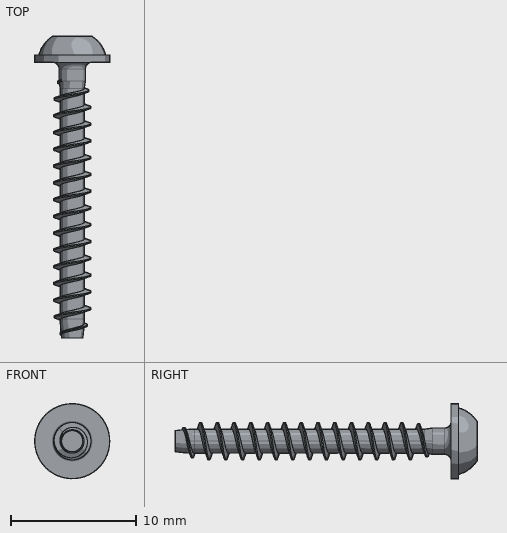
import cadquery as cq
import math

LENGTH = 24.1

FLANGE_DIAMETER = 6.0
FLANGE_RADIUS = FLANGE_DIAMETER / 2
FLANGE_THICKNESS = 0.6
DOME_HEIGHT = 1.5
DOME_BASE_RADIUS = 2.68
DOME_TOP_RADIUS = 1.57
DOME_MID_RADIUS = 2.34

SHANK_RADIUS = 1.05
NECK_FILLET = 0.5
SHANK_LENGTH = 1.5
SHANK_TAPER_LENGTH = 0.6
CORE_RADIUS = 0.96
TIP_RADIUS = 0.85
TIP_TAPER_LENGTH = 1.55

THREAD_RADIUS = 1.5
CREST_HALF_WIDTH = 0.05
FLANK_SLOPE = 0.3
ROOT_RADIUS = 0.77
THREAD_START = 0.15
THREAD_START_RADIUS = 0.92
TIP_RUN_OUT_END = 1.85
FIRST_FULL_CREST = 2.02
LAST_FULL_CREST = 19.42
TURNS_BETWEEN = 13
PITCH = (LAST_FULL_CREST - FIRST_FULL_CREST) / TURNS_BETWEEN
HEAD_RUN_OUT_LENGTH = 1.57
THREAD_END_RADIUS = 1.15
POINTS_PER_TURN = 16

DOME_BASE_Y = LENGTH - DOME_HEIGHT
SEAT_Y = DOME_BASE_Y - FLANGE_THICKNESS
SHANK_END_Y = SEAT_Y - SHANK_LENGTH
THREAD_END = SHANK_END_Y + CREST_HALF_WIDTH


def make_body():
    """Revolve the head, shank and core as one profile."""
    fillet_center_x = SHANK_RADIUS + NECK_FILLET
    fillet_center_y = SEAT_Y - NECK_FILLET
    fillet_offset = NECK_FILLET * math.sqrt(0.5)
    fillet_mid = (fillet_center_x - fillet_offset, fillet_center_y + fillet_offset)
    tip_mid_radius = CORE_RADIUS - (CORE_RADIUS - TIP_RADIUS) / 4
    return (
        cq.Workplane("XY")
        .moveTo(0, 0)
        .lineTo(TIP_RADIUS, 0)
        .threePointArc((tip_mid_radius, TIP_TAPER_LENGTH / 2), (CORE_RADIUS, TIP_TAPER_LENGTH))
        .lineTo(CORE_RADIUS, SHANK_END_Y - SHANK_TAPER_LENGTH)
        .lineTo(SHANK_RADIUS, SHANK_END_Y)
        .lineTo(SHANK_RADIUS, fillet_center_y)
        .threePointArc(fillet_mid, (fillet_center_x, SEAT_Y))
        .lineTo(FLANGE_RADIUS, SEAT_Y)
        .lineTo(FLANGE_RADIUS, DOME_BASE_Y)
        .lineTo(DOME_BASE_RADIUS, DOME_BASE_Y)
        .threePointArc((DOME_MID_RADIUS, DOME_BASE_Y + DOME_HEIGHT / 2), (DOME_TOP_RADIUS, LENGTH))
        .lineTo(0, LENGTH)
        .close()
        .revolve(360, (0, 0, 0), (0, 1, 0))
    )


def thread_section(y, crest_radius):
    """Four corners of the trapezoidal thread section centred at height y."""
    angle = 2 * math.pi * (y - FIRST_FULL_CREST) / PITCH
    root_half_width = CREST_HALF_WIDTH + FLANK_SLOPE * (crest_radius - ROOT_RADIUS)
    corners = (
        (ROOT_RADIUS, -root_half_width),
        (crest_radius, -CREST_HALF_WIDTH),
        (crest_radius, CREST_HALF_WIDTH),
        (ROOT_RADIUS, root_half_width),
    )
    return [cq.Vector(r * math.sin(angle), y + dy, r * math.cos(angle)) for r, dy in corners]


def make_thread_stretch(start, end, start_radius, end_radius):
    """Right-hand thread whose crest radius changes evenly from start to end."""
    steps = math.ceil((end - start) / PITCH * POINTS_PER_TURN)
    sections = []
    for step in range(steps + 1):
        fraction = step / steps
        crest_radius = start_radius + fraction * (end_radius - start_radius)
        sections.append(thread_section(start + fraction * (end - start), crest_radius))

    parameters = [step / steps for step in range(steps + 1)]
    rails = [cq.Edge.makeSpline(list(points), parameters=parameters) for points in zip(*sections)]
    faces = [cq.Face.makeRuledSurface(rails[i - 1], rails[i]) for i in range(len(rails))]
    for section in (sections[0], sections[-1]):
        faces.append(cq.Face.makeFromWires(cq.Wire.makePolygon(section, close=True)))
    return cq.Solid.makeSolid(cq.Shell.makeShell(faces))


head_run_out_start = THREAD_END - HEAD_RUN_OUT_LENGTH
thread_stretches = (
    (THREAD_START, TIP_RUN_OUT_END, THREAD_START_RADIUS, THREAD_RADIUS),
    (TIP_RUN_OUT_END, head_run_out_start, THREAD_RADIUS, THREAD_RADIUS),
    (head_run_out_start, THREAD_END, THREAD_RADIUS, THREAD_END_RADIUS),
)

result = make_body()
for stretch in thread_stretches:
    result = result.union(cq.Workplane(obj=make_thread_stretch(*stretch)))